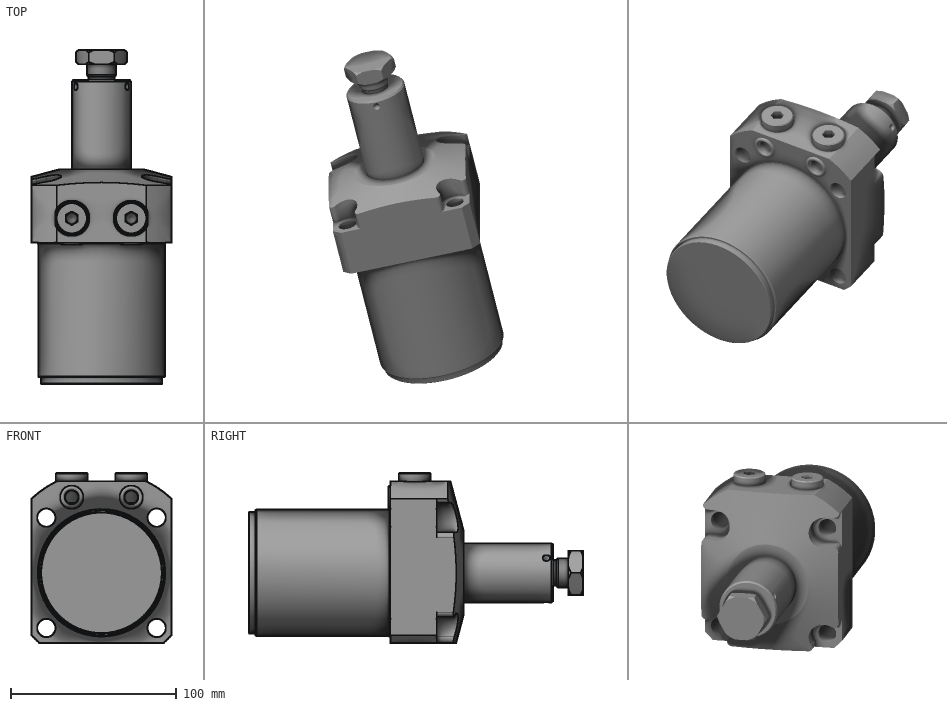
import cadquery as cq
import math


block_half_width = 42.5
block_top = 55.5
block_bottom = -42.5
corner_chamfer = 4.9
shoulder_radius = 61.8
block_length = 44.5
nose_radius = 25.3
cone_slope = math.radians(15)

hole_offset = 33.5
hole_diameter = 11.0
pocket_radius = 9.0
pocket_floor = 28.1
upper_lip_radius = 3.0
lower_lip_radius = 2.6

barrel_radius = 38.5
barrel_length = 81.6
barrel_chamfer = 0.6
collar_radius = 38.7
collar_length = 0.6
cap_radius = 36.9
cap_end = 85.7
cap_chamfer = 0.5

port_x = 18.0
port_z = 45.8
port_radius = 4.0
seal_ring_radius = 5.7
seal_tube_radius = 1.5
seal_height = 1.2
plug_y = 14.8
plug_radius = 9.7
plug_top = 60.5
plug_chamfer = 0.6
plug_shank_radius = 6.0
plug_shank_bottom = 42.5
spotface_radius = 10.7
spotface_depth = 0.5
socket_flats = 7.0
socket_depth = 5.0
socket_point_depth = 2.0

rod_radius = 18.0
rod_end = 98.6
rod_chamfer_radial = 0.8
rod_chamfer_axial = 1.2
wrench_dimple_count = 3
wrench_dimple_first_angle = 30
wrench_dimple_radius = 2.2
wrench_dimple_depth = 2.2
wrench_dimple_y = 94.5

bolt_end = 116.8
head_thickness = 9.0
head_flats = 27.0
head_edge_chamfer = 1.6
bolt_radius = 9.0
bolt_shoulder_y = 101.7
neck_radius = 7.9
neck_taper = 1.2
bolt_depth = 24.3
thread_entry_radius = 8.5

head_corner_radius = head_flats / math.sqrt(3)
bolt_tip = rod_end - bolt_depth


def turned(points):
    """Solid of revolution about Y from (radius, y) points."""
    return cq.Workplane("XY").polyline(points).close().revolve(360, (0, 0, 0), (0, 1, 0))


def along_y(start):
    """Sketch plane at Y = start with local x = X, local y = Z; it extrudes to +Y with negative lengths."""
    return cq.Workplane("XZ", origin=(0, start, 0))


def shoulder_point(x=None, z=None):
    """Point of the rounded shoulder at a given x or z."""
    if z is None:
        return x, math.sqrt(shoulder_radius**2 - x**2)
    return math.sqrt(shoulder_radius**2 - z**2), z


def make_block():
    side_x, side_z = shoulder_point(x=block_half_width)
    top_x, top_z = shoulder_point(z=block_top)
    middle = (math.atan2(side_z, side_x) + math.atan2(top_z, top_x)) / 2
    middle_x = shoulder_radius * math.cos(middle)
    middle_z = shoulder_radius * math.sin(middle)
    prism = (
        along_y(0)
        .moveTo(block_half_width - corner_chamfer, block_bottom)
        .lineTo(block_half_width, block_bottom + corner_chamfer)
        .lineTo(side_x, side_z)
        .threePointArc((middle_x, middle_z), (top_x, top_z))
        .lineTo(-top_x, top_z)
        .threePointArc((-middle_x, middle_z), (-side_x, side_z))
        .lineTo(-block_half_width, block_bottom + corner_chamfer)
        .lineTo(corner_chamfer - block_half_width, block_bottom)
        .close()
        .extrude(-block_length)
    )
    outer = shoulder_radius + 2
    cone_edge_y = block_length - (outer - nose_radius) * math.tan(cone_slope)
    cone = turned([(0, 0), (outer, 0), (outer, cone_edge_y), (nose_radius, block_length), (0, block_length)])
    return prism.intersect(cone)


def upper_pocket():
    """Slot open to the +X side; its mouth flares out in two convex lips."""
    lip_start = block_half_width - upper_lip_radius
    lip_middle = upper_lip_radius * math.sqrt(0.5)
    half_mouth = pocket_radius + upper_lip_radius
    outside = block_half_width + 2
    return (
        along_y(pocket_floor)
        .moveTo(hole_offset, hole_offset + pocket_radius)
        .threePointArc((hole_offset - pocket_radius, hole_offset), (hole_offset, hole_offset - pocket_radius))
        .lineTo(lip_start, hole_offset - pocket_radius)
        .threePointArc(
            (lip_start + lip_middle, hole_offset - half_mouth + lip_middle),
            (block_half_width, hole_offset - half_mouth),
        )
        .lineTo(outside, hole_offset - half_mouth)
        .lineTo(outside, hole_offset + half_mouth)
        .lineTo(block_half_width, hole_offset + half_mouth)
        .threePointArc(
            (lip_start + lip_middle, hole_offset + half_mouth - lip_middle),
            (lip_start, hole_offset + pocket_radius),
        )
        .close()
        .extrude(pocket_floor - block_length)
    )


def lower_pocket():
    """Round pocket open at the lower +X corner; convex lips lead into the side and the bottom."""
    edge = block_half_width - hole_offset
    reach = pocket_radius + lower_lip_radius
    lip_x = edge - lower_lip_radius
    lip_z = math.sqrt(reach**2 - lip_x**2)
    touch = pocket_radius / reach
    lip_angle = (math.atan2(lip_z, lip_x) - math.pi) / 2
    middle_x = lip_x + lower_lip_radius * math.cos(lip_angle)
    middle_z = lip_z + lower_lip_radius * math.sin(lip_angle)
    inner = -pocket_radius * math.sqrt(0.5)
    outside = edge + 2
    return (
        cq.Workplane("XZ", origin=(hole_offset, pocket_floor, -hole_offset))
        .moveTo(edge, lip_z)
        .threePointArc((middle_x, middle_z), (touch * lip_x, touch * lip_z))
        .threePointArc((inner, -inner), (-touch * lip_z, -touch * lip_x))
        .threePointArc((-middle_z, -middle_x), (-lip_z, -edge))
        .lineTo(-lip_z, -outside)
        .lineTo(outside, -outside)
        .lineTo(outside, lip_z)
        .close()
        .extrude(pocket_floor - block_length)
    )


def cut_mountings(block):
    corners = [(x, z) for x in (-hole_offset, hole_offset) for z in (-hole_offset, hole_offset)]
    holes = along_y(0).pushPoints(corners).circle(hole_diameter / 2).extrude(-block_length)
    block = block.cut(holes)
    for pocket in (upper_pocket(), lower_pocket()):
        block = block.cut(pocket).cut(pocket.mirror("YZ"))
    return block


def make_barrel():
    return turned([
        (0, 0),
        (collar_radius, 0),
        (collar_radius, -collar_length),
        (barrel_radius, -collar_length),
        (barrel_radius, barrel_chamfer - barrel_length),
        (barrel_radius - barrel_chamfer, -barrel_length),
        (cap_radius, -barrel_length),
        (cap_radius, cap_chamfer - cap_end),
        (cap_radius - cap_chamfer, -cap_end),
        (0, -cap_end),
    ])


def make_plug(x):
    """Plug with a hexagon socket, whose shank closes the oil port from above."""
    seat = block_top - spotface_depth
    shank = (
        cq.Workplane("XY", origin=(x, plug_y, plug_shank_bottom))
        .circle(plug_shank_radius)
        .extrude(seat - plug_shank_bottom)
    )
    head = (
        cq.Workplane("XY", origin=(x, plug_y, seat))
        .circle(plug_radius)
        .extrude(plug_top - seat)
        .faces(">Z")
        .chamfer(plug_chamfer)
    )
    socket = (
        cq.Workplane("XY", origin=(x, plug_y, plug_top))
        .transformed(rotate=(0, 0, 90))
        .polygon(6, socket_flats * 2 / math.sqrt(3))
        .extrude(-socket_depth)
    )
    point = cq.Workplane(cq.Solid.makeCone(
        socket_flats / 2, 0, socket_point_depth,
        cq.Vector(x, plug_y, plug_top - socket_depth), cq.Vector(0, 0, -1),
    ))
    return head.union(shank).cut(socket).cut(point)


def add_port(housing, x):
    """Oil port with its seal ring sunk into the face, and the plug in its spot face."""
    bore = along_y(0).center(x, port_z).circle(port_radius).extrude(-plug_y)
    spotface = (
        cq.Workplane("XY", origin=(x, plug_y, block_top - spotface_depth))
        .circle(spotface_radius)
        .extrude(spotface_depth)
    )
    plug_bore = (
        cq.Workplane("XY", origin=(x, plug_y, plug_shank_bottom))
        .circle(plug_shank_radius)
        .extrude(block_top - plug_shank_bottom)
    )
    seal = cq.Workplane(cq.Solid.makeTorus(
        seal_ring_radius, seal_tube_radius,
        cq.Vector(x, seal_tube_radius - seal_height, port_z), cq.Vector(0, 1, 0),
    ))
    return housing.cut(bore).cut(spotface).cut(plug_bore).union(make_plug(x)).union(seal)


def make_housing():
    housing = cut_mountings(make_block()).union(make_barrel())
    for x in (-port_x, port_x):
        housing = add_port(housing, x)
    rod_bore = along_y(0).circle(rod_radius).extrude(-block_length)
    return housing.cut(rod_bore)


def make_rod():
    entry_depth = thread_entry_radius - neck_radius
    rod = turned([
        (0, 0),
        (rod_radius, 0),
        (rod_radius, rod_end - rod_chamfer_axial),
        (rod_radius - rod_chamfer_radial, rod_end),
        (thread_entry_radius, rod_end),
        (neck_radius, rod_end - entry_depth),
        (neck_radius, bolt_tip),
        (0, bolt_tip),
    ])
    for i in range(wrench_dimple_count):
        angle = math.radians(wrench_dimple_first_angle + i * 360 / wrench_dimple_count)
        outward = cq.Vector(math.cos(angle), 0, math.sin(angle))
        tip = outward * (rod_radius - wrench_dimple_depth) + cq.Vector(0, wrench_dimple_y, 0)
        dimple = cq.Solid.makeCone(0, 2 * wrench_dimple_radius, 2 * wrench_dimple_depth, tip, outward)
        rod = rod.cut(cq.Workplane(dimple))
    return rod


def make_bolt():
    head_start = bolt_end - head_thickness
    head_bevel = head_corner_radius - head_edge_chamfer
    hexagon = along_y(head_start).polygon(6, 2 * head_corner_radius).extrude(-head_thickness)
    envelope = turned([
        (0, head_start),
        (head_bevel, head_start),
        (head_corner_radius, head_start + head_edge_chamfer),
        (head_corner_radius, bolt_end - head_edge_chamfer),
        (head_bevel, bolt_end),
        (0, bolt_end),
    ])
    shank = turned([
        (0, bolt_tip),
        (neck_radius, bolt_tip),
        (neck_radius, bolt_shoulder_y - neck_taper),
        (bolt_radius, bolt_shoulder_y),
        (bolt_radius, head_start),
        (0, head_start),
    ])
    return hexagon.intersect(envelope).union(shank)


housing = make_housing()
rod = make_rod()
bolt = make_bolt()
result = cq.Compound.makeCompound([housing.val(), rod.val(), bolt.val()])